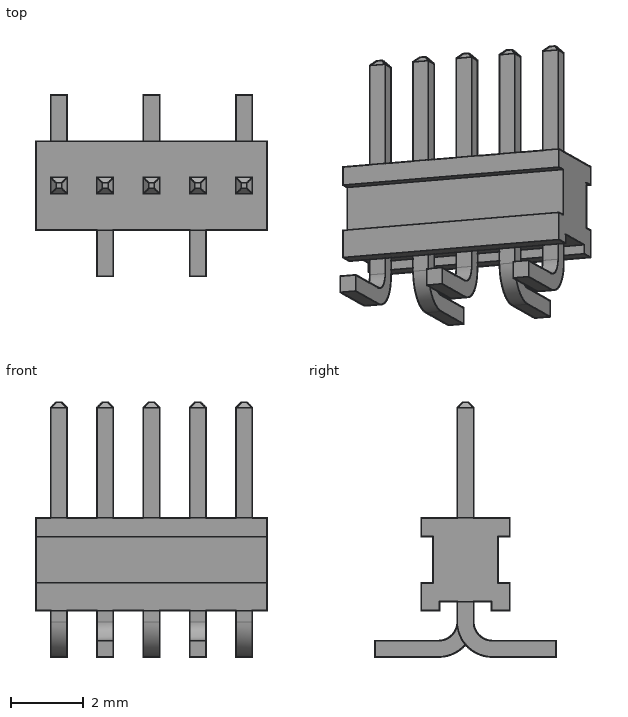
import cadquery as cq
import math

PIN_COUNT = 5
TOTAL_HEIGHT = 6.99
HOUSING_LENGTH = 6.35
PITCH = HOUSING_LENGTH / PIN_COUNT

HOUSING_DEPTH = 2.44
HOUSING_HEIGHT = 2.545
HOUSING_BOTTOM = 1.27
TOP_FLANGE_HEIGHT = 0.51
BOTTOM_FLANGE_HEIGHT = 0.76
SIDE_GROOVE_DEPTH = 0.33
CHANNEL_DEPTH = 0.25
FOOT_RAIL_WIDTH = 0.51
HOUSING_TOP = HOUSING_BOTTOM + HOUSING_HEIGHT

PIN_SIDE = 0.455
TIP_HEIGHT = 0.155
TIP_FLAT = 0.155
LEG_REACH = 2.49
BEND_INNER_RADIUS = 0.51
BEND_OUTER_RADIUS = BEND_INNER_RADIUS + PIN_SIDE
REAR, FRONT = 1, -1


def make_housing_block():
    """Housing section with side grooves and an underside channel, extruded along X."""
    half_depth = HOUSING_DEPTH / 2
    half_waist = half_depth - SIDE_GROOVE_DEPTH
    half_channel = half_depth - FOOT_RAIL_WIDTH
    channel_roof = HOUSING_BOTTOM + CHANNEL_DEPTH
    groove_bottom = HOUSING_BOTTOM + BOTTOM_FLANGE_HEIGHT
    groove_top = HOUSING_TOP - TOP_FLANGE_HEIGHT

    half_outline = [
        (half_channel, channel_roof),
        (half_channel, HOUSING_BOTTOM),
        (half_depth, HOUSING_BOTTOM),
        (half_depth, groove_bottom),
        (half_waist, groove_bottom),
        (half_waist, groove_top),
        (half_depth, groove_top),
        (half_depth, HOUSING_TOP),
    ]
    mirrored_half = [(-y, z) for y, z in reversed(half_outline)]
    return (
        cq.Workplane("YZ")
        .polyline(half_outline + mirrored_half)
        .close()
        .extrude(HOUSING_LENGTH / 2, both=True)
    )


def make_pin(x, direction):
    """Pin at the given X, with its leg bent toward +Y (REAR) or -Y (FRONT)."""
    half_side = PIN_SIDE / 2
    shoulder = TOTAL_HEIGHT - TIP_HEIGHT
    bend_centre_y = half_side + BEND_INNER_RADIUS
    bend_centre_z = BEND_OUTER_RADIUS

    def arc_middle(radius):
        offset = radius * math.sqrt(0.5)
        return direction * (bend_centre_y - offset), bend_centre_z - offset

    bent_bar = (
        cq.Workplane("YZ", origin=(x, 0, 0))
        .moveTo(-direction * half_side, shoulder)
        .lineTo(-direction * half_side, bend_centre_z)
        .threePointArc(arc_middle(BEND_OUTER_RADIUS), (direction * bend_centre_y, 0))
        .lineTo(direction * LEG_REACH, 0)
        .lineTo(direction * LEG_REACH, PIN_SIDE)
        .lineTo(direction * bend_centre_y, PIN_SIDE)
        .threePointArc(arc_middle(BEND_INNER_RADIUS), (direction * half_side, bend_centre_z))
        .lineTo(direction * half_side, shoulder)
        .close()
        .extrude(half_side, both=True)
    )
    tip = (
        cq.Workplane("XY", origin=(x, 0, shoulder))
        .rect(PIN_SIDE, PIN_SIDE)
        .workplane(offset=TIP_HEIGHT)
        .rect(TIP_FLAT, TIP_FLAT)
        .loft(ruled=True)
    )
    return bent_bar.union(tip)


pin_positions = [(i - (PIN_COUNT - 1) / 2) * PITCH for i in range(PIN_COUNT)]
rear_positions = pin_positions[0::2]
front_positions = pin_positions[1::2]

header = make_housing_block()
for x in rear_positions:
    header = header.union(make_pin(x, REAR))

front_pins = []
for x in front_positions:
    pin = make_pin(x, FRONT)
    header = header.cut(pin)
    front_pins.append(pin.val())

result = cq.Compound.makeCompound([header.val(), *front_pins])